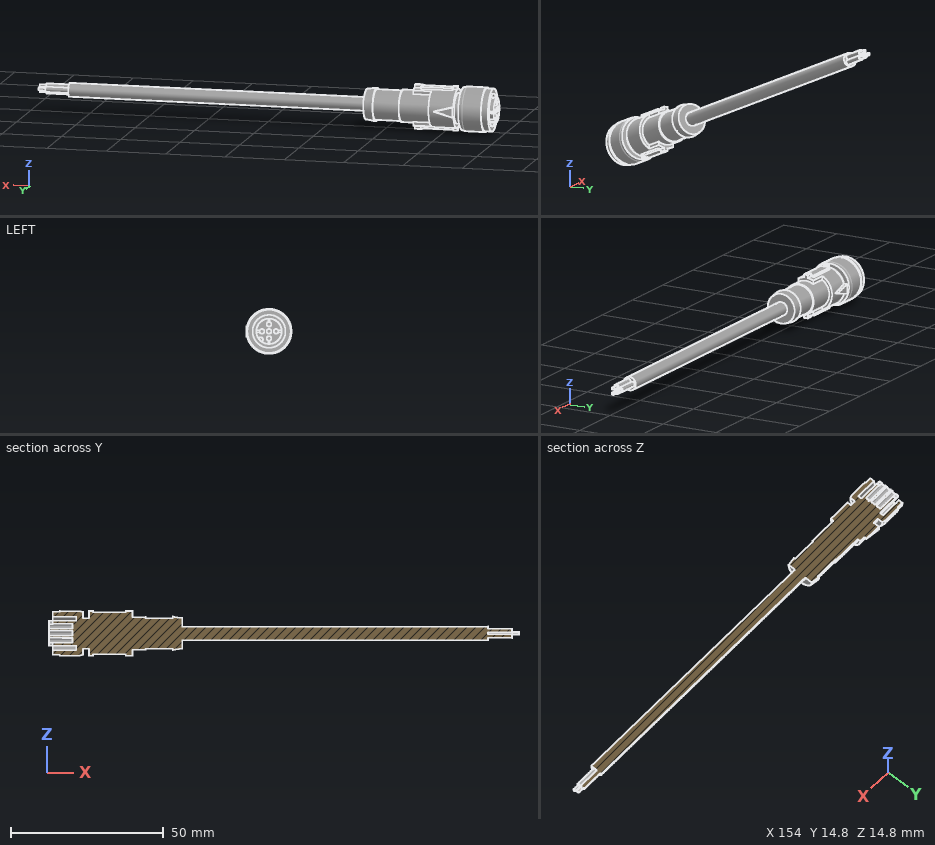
import cadquery as cq

total_length = 154.0
nut_start = 1.2
nut_ring_end = 3.5
nut_taper_start = 10.0
nut_end = 11.2
body_start = 13.1
body_end = 21.4
latch_end = 27.4
sleeve_end = 31.7
collar_start = 40.5
collar_end = 43.7
cable_end = 143.8
wire_end = 151.7

nut_radius = 7.4
nut_ring_radius = 7.1
nut_end_radius = 7.1
nut_bore_radius = 5.4
nose_radius = 4.2
neck_radius = 5.1
body_radius = 6.5
sleeve_radius = 5.4
grip_radius = 5.1
collar_radius = 5.5
collar_end_radius = 5.1
cable_radius = 2.3

nut_bore_depth = 7.7
socket_radius = 0.8
socket_pitch_radius = 2.3
socket_depth = 7.7
slot_width = 0.6
slot_depth = 1.2
key_radius = 0.8
key_pitch_radius = 3.8
key_angle = -45

latch_width = 5.5
pad_start = 14.5
pad_end = 25.1
pad_width = 3.4
pad_height = 7.0
nub_width = 1.4
nub_height = 7.4
mark_width = 3.4
mark_tip = 19.4
mark_height = 7.4

wire_count = 3
wire_radius = 0.85
wire_pitch_radius = 1.0
strand_radius = 0.5


def rod(start, end, radius, y=0, z=0):
    """Cylinder along X between two stations, centred at (y, z)."""
    disc = cq.Workplane("YZ", origin=(start, y, z)).circle(radius)
    return disc.extrude(end - start)


def bar(start, end, width, height):
    """Block standing on the axis, centred in Y and reaching up to the given height."""
    base = cq.Workplane("XY", origin=(start, 0, 0))
    return base.box(end - start, width, height, centered=(False, True, False))


def about_axis(shape, angle):
    """Copy of the shape turned about X by an angle in degrees."""
    return shape.rotate((0, 0, 0), (1, 0, 0), angle)


def cone(start, end, start_radius, end_radius):
    """Solid of revolution about X whose radius changes evenly between two stations."""
    outline = [(start, 0), (start, start_radius), (end, end_radius), (end, 0)]
    return cq.Workplane("XY").polyline(outline).close().revolve(360, (0, 0, 0), (1, 0, 0))


def coupling_nut():
    """Nut with a slightly smaller front ring, a tapered rear and an annular bore around the nose."""
    nut = rod(nut_start, nut_ring_end, nut_ring_radius)
    nut = nut.union(rod(nut_ring_end, nut_taper_start, nut_radius))
    nut = nut.union(cone(nut_taper_start, nut_end, nut_radius, nut_end_radius))
    return nut.cut(rod(nut_start, nut_start + nut_bore_depth, nut_bore_radius))


def contact_nose():
    """Insert with a centre socket, four slotted sockets around it and a keyway at the rim."""
    nose = rod(0, nut_end, nose_radius).cut(rod(0, socket_depth, socket_radius))
    slot = bar(0, slot_depth, slot_width, nose_radius).translate((0, 0, socket_pitch_radius))
    for angle in (0, 90, 180, 270):
        socket = rod(0, socket_depth, socket_radius, z=socket_pitch_radius)
        nose = nose.cut(about_axis(socket.union(slot), angle))
    key = rod(0, socket_depth, key_radius, y=key_pitch_radius)
    return nose.cut(about_axis(key, key_angle))


def grip():
    shape = rod(nut_end, body_start, neck_radius)
    shape = shape.union(rod(body_start, body_end, body_radius))
    shape = shape.union(rod(body_end, sleeve_end, sleeve_radius))
    shape = shape.union(rod(sleeve_end, collar_start, grip_radius))
    return shape.union(cone(collar_start, collar_end, collar_radius, collar_end_radius))


def latch():
    """Rail with a raised pad and a narrow nub at each end, on the top of the body."""
    rail = bar(body_start, latch_end, latch_width, body_radius)
    rail = rail.intersect(rod(body_start, latch_end, body_radius))
    pad = bar(pad_start, pad_end, pad_width, pad_height)
    front_nub = bar(body_start, pad_start, nub_width, nub_height)
    rear_nub = bar(pad_end, latch_end, nub_width, nub_height)
    return rail.union(pad).union(front_nub).union(rear_nub)


def arrow_mark():
    """Arrow-shaped rib on the +Y side of the body, pointing along +X."""
    outline = [(body_start, -mark_width / 2), (mark_tip, 0), (body_start, mark_width / 2)]
    return cq.Workplane("XZ").polyline(outline).close().extrude(-mark_height)


def cable():
    shape = rod(collar_end, cable_end, cable_radius)
    for i in range(wire_count):
        wire = rod(cable_end, wire_end, wire_radius, y=wire_pitch_radius)
        strand = rod(wire_end, total_length, strand_radius, y=wire_pitch_radius)
        shape = shape.union(about_axis(wire.union(strand), i * 360 / wire_count))
    return shape


result = coupling_nut().union(contact_nose()).union(grip()).union(arrow_mark()).union(cable())
for angle in (0, 180):
    result = result.union(about_axis(latch(), angle))